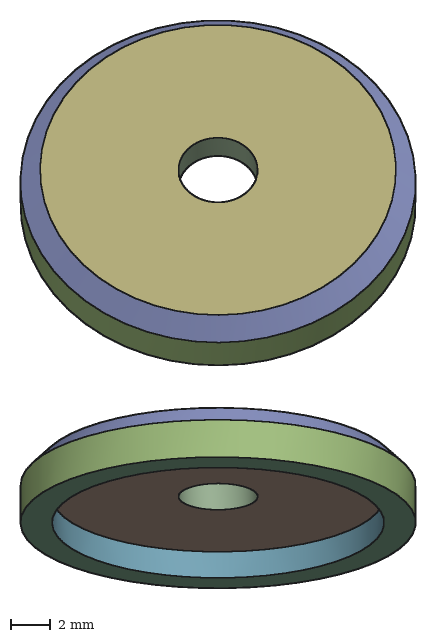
import cadquery as cq

outer_diameter = 20
height = 3
hole_diameter = 4
rim_chamfer = 1
wall_thickness = 1.6

recess_diameter = outer_diameter - 2 * wall_thickness
recess_depth = height - wall_thickness

disc = cq.Workplane("XY").circle(outer_diameter / 2).extrude(height)

bevelled_disc = disc.faces(">Z").edges().chamfer(rim_chamfer)

recess = cq.Workplane("XY").circle(recess_diameter / 2).extrude(recess_depth)
cap = bevelled_disc.cut(recess)

hole = cq.Workplane("XY").circle(hole_diameter / 2).extrude(height)
result = cap.cut(hole)